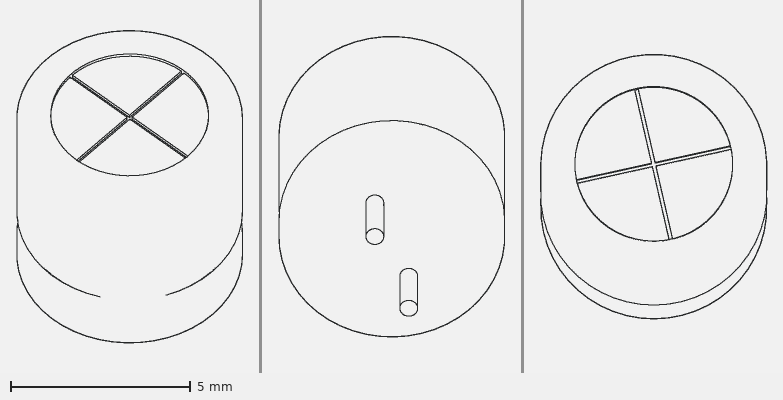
import cadquery as cq
import math

body_diameter = 6.3
body_radius = body_diameter / 2
body_height = 6.3
edge_radius = 0.2

groove_center_z = 1.59
groove_depth = 0.2
groove_radius = 0.5
lip_radius = 0.3

recess_diameter = 4.4
recess_depth = 0.1
score_width = 0.1
score_depth = 0.1

lead_diameter = 0.5
lead_spacing = 2.5
long_lead = 8.3 - body_height
short_lead = 1.9


def crimped_can():
    """Revolve the can outline: rounded ends and the crimp groove."""
    turn = math.acos(1 - groove_depth / (groove_radius + lip_radius))
    half_height = (groove_radius + lip_radius) * math.sin(turn)
    root_radius = body_radius - groove_depth
    joint_radius = root_radius + groove_radius * (1 - math.cos(turn))
    joint_offset = groove_radius * math.sin(turn)
    lip_mid_radius = body_radius - lip_radius * (1 - math.cos(turn / 2))
    lip_mid_offset = half_height - lip_radius * math.sin(turn / 2)

    flat_radius = body_radius - edge_radius
    outline = (
        cq.Workplane("XZ")
        .lineTo(flat_radius, 0)
        .radiusArc((body_radius, edge_radius), -edge_radius)
        .lineTo(body_radius, groove_center_z - half_height)
        .threePointArc(
            (lip_mid_radius, groove_center_z - lip_mid_offset),
            (joint_radius, groove_center_z - joint_offset),
        )
        .threePointArc(
            (root_radius, groove_center_z),
            (joint_radius, groove_center_z + joint_offset),
        )
        .threePointArc(
            (lip_mid_radius, groove_center_z + lip_mid_offset),
            (body_radius, groove_center_z + half_height),
        )
        .lineTo(body_radius, body_height - edge_radius)
        .radiusArc((flat_radius, body_height), -edge_radius)
        .lineTo(0, body_height)
        .close()
    )
    return outline.revolve(360, (0, 0), (0, 1))


def top_recess():
    """Shallow round recess plus the cross scored below its floor."""
    floor_z = body_height - recess_depth
    recess = cq.Workplane("XY", origin=(0, 0, floor_z)).circle(recess_diameter / 2).extrude(recess_depth)
    floor_disc = cq.Workplane("XY", origin=(0, 0, floor_z)).circle(recess_diameter / 2).extrude(-score_depth)
    cross = (
        cq.Workplane("XY", origin=(0, 0, floor_z))
        .rect(recess_diameter, score_width)
        .extrude(-score_depth)
        .union(
            cq.Workplane("XY", origin=(0, 0, floor_z))
            .rect(score_width, recess_diameter)
            .extrude(-score_depth)
        )
    )
    return recess.union(cross.intersect(floor_disc))


def lead(x, length):
    """Round lead reaching down from the underside of the can."""
    return cq.Workplane("XY").center(x, 0).circle(lead_diameter / 2).extrude(-length)


result = crimped_can().cut(top_recess())
for x, length in ((-lead_spacing / 2, long_lead), (lead_spacing / 2, short_lead)):
    result = result.union(lead(x, length))